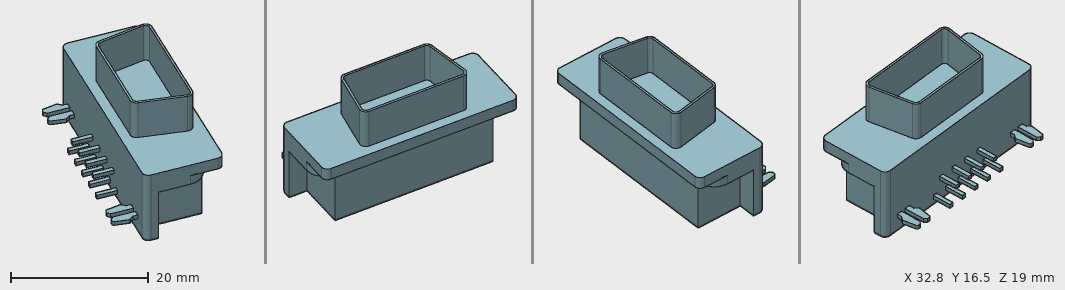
import cadquery as cq
import math

length = 32.8
depth = 12.5
housing_height = 12.5
flange_thickness = 2.0
outer_corner_radius = 1.02
bottom_edge_radius = 0.5

shoulder_thickness = 1.57
shoulder_corner_radius = 3.02
rear_setback = 2.3
front_wall_thickness = 2.23
block_inset = 3.02

shell_height = 6.5
shell_depth = 9.22
shell_rear_width = 18.27
shell_wall = 0.35
shell_corner_radius = 1.0
shell_slant = 10.0

pin_size = 0.7
pin_length = 3.2
pin_pitch = 2.75
pin_row_spacing = 2.75
lower_row_height = 1.65
lower_row_count = 5
upper_row_count = 4

clip_spacing = 25.0
clip_thickness = 0.7
clip_length = 4.0
prong_inner = 0.4
prong_outer = 1.3
barb_outer = 1.87
neck_length = 0.8
barb_distance = 1.48
tip_outer = 1.45
tip_outer_radius = 0.33
tip_inner_bevel = 0.43

front_y = -depth / 2
rear_y = depth / 2
block_rear_y = rear_y - rear_setback
flange_bottom = housing_height - flange_thickness
block_top = flange_bottom - shoulder_thickness


def slab(width, y_start, y_end, z_start, z_end):
    """Box centred on X between the given Y and Z limits."""
    return cq.Workplane("XY").box(
        width, y_end - y_start, z_end - z_start, centered=(True, False, False)
    ).translate((0, y_start, z_start))


def make_housing():
    """Flange, shoulder, rear block and front wall of the moulded body."""
    flange = slab(length, front_y, rear_y, flange_bottom, housing_height)
    flange = flange.edges("|Z and >Y").fillet(outer_corner_radius)
    shoulder = slab(length, front_y, block_rear_y, block_top, flange_bottom)
    shoulder = shoulder.edges("|Z and >Y").fillet(shoulder_corner_radius)
    block = slab(length - 2 * block_inset, front_y, block_rear_y, 0, block_top)
    front_wall = slab(length, front_y, front_y + front_wall_thickness, 0, block_top)
    body = flange.union(shoulder).union(block).union(front_wall)
    body = body.edges("|Z and <Y").fillet(outer_corner_radius)
    return body.faces("<Z").edges().fillet(bottom_edge_radius)


def shell_prism(offset, corner_radius):
    """Rounded trapezoid prism on the flange, moved inward by offset on every side."""
    slant = math.radians(shell_slant)
    half_depth = shell_depth / 2 - offset
    side_shift = offset / math.cos(slant)
    mid_half_width = shell_rear_width / 2 - shell_depth / 2 * math.tan(slant) - side_shift
    rear_half = mid_half_width + half_depth * math.tan(slant)
    front_half = mid_half_width - half_depth * math.tan(slant)
    outline = [
        (-rear_half, half_depth),
        (rear_half, half_depth),
        (front_half, -half_depth),
        (-front_half, -half_depth),
    ]
    base = cq.Workplane("XY", origin=(0, 0, housing_height))
    prism = base.polyline(outline).close().extrude(shell_height)
    return prism.edges("|Z").fillet(corner_radius)


def make_shell():
    """Thin-walled shell open at the top."""
    outer = shell_prism(0, shell_corner_radius)
    return outer.cut(shell_prism(shell_wall, shell_corner_radius - shell_wall))


def make_pin_row(count, height):
    """Row of square pins standing out of the front face."""
    return (
        cq.Workplane("XZ", origin=(0, front_y, height))
        .rarray(pin_pitch, 0.33, count, 1)
        .rect(pin_size, pin_size)
        .extrude(pin_length)
    )


def make_prong(center_x, side, height):
    """Barbed half of a clip; side is -1 or 1."""
    profile = [
        (prong_inner, 0),
        (prong_outer, 0),
        (prong_outer, neck_length),
        (barb_outer, barb_distance),
        (tip_outer, clip_length),
        (prong_inner + tip_inner_bevel, clip_length),
        (prong_inner, clip_length - tip_inner_bevel),
    ]
    outline = [(center_x + side * x, front_y - y) for x, y in profile]
    base = cq.Workplane("XY", origin=(0, 0, height - clip_thickness / 2))
    prong = base.polyline(outline).close().extrude(clip_thickness)
    tip_corner = (center_x + side * tip_outer, front_y - clip_length, height)
    return prong.edges(cq.NearestToPointSelector(tip_corner)).fillet(tip_outer_radius)


result = make_housing().union(make_shell())

upper_row_height = lower_row_height + pin_row_spacing
result = result.union(make_pin_row(lower_row_count, lower_row_height))
result = result.union(make_pin_row(upper_row_count, upper_row_height))

clip_height = lower_row_height + pin_row_spacing / 2
for clip_x in (-clip_spacing / 2, clip_spacing / 2):
    for prong_side in (-1, 1):
        result = result.union(make_prong(clip_x, prong_side, clip_height))